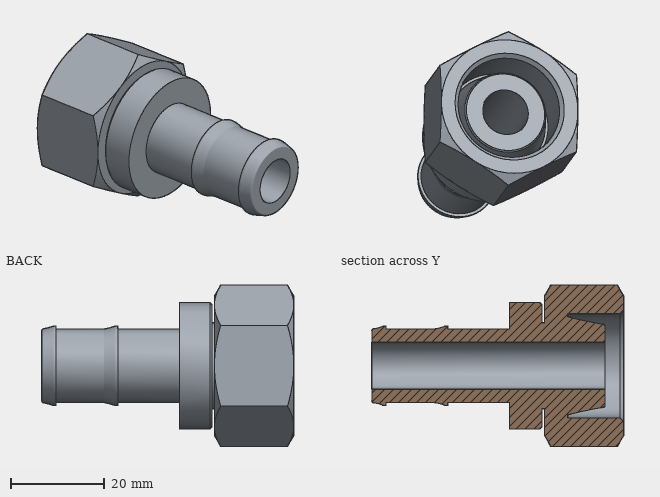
import cadquery as cq
import math

total_length = 54.0
through_bore_radius = 5.0

nut_length = 17.0
nut_across_flats = 30.0
nut_corner_angle = 30.0
nut_bore_radius = 11.15
nut_bore_depth = 12.0
nut_mouth_radius = 12.0

cone_face_x = 4.0
cone_half_angle = 12.0
cone_base_radius = 10.55
cone_edge_chamfer = 0.25

neck_radius = 9.25
collar_start = 17.5
collar_end = 24.5
collar_radius = 13.6
collar_chamfer = 0.5

tail_radius = 7.9
barb_radius = 8.55
barb_land = 0.5
barb_angle = 15.0
middle_barb_start = 37.7
end_barb_start = 50.9
tail_end_fillet = 0.4


def tan_deg(angle):
    return math.tan(math.radians(angle))


def cylinder(start, end, radius):
    """Solid cylinder on the X axis."""
    return cq.Workplane("YZ").workplane(offset=start).circle(radius).extrude(end - start)


def revolve_about_x(points):
    """Revolve an outline of (x, radius) points about the X axis."""
    return cq.Workplane("XY").polyline(points).close().revolve(360, (0, 0, 0), (1, 0, 0))


def make_nut():
    corner_radius = nut_across_flats / math.sqrt(3)
    flat_radius = nut_across_flats / 2
    chamfer_length = (corner_radius - flat_radius) * tan_deg(nut_corner_angle)
    hexagon = (
        cq.Workplane("YZ")
        .polygon(6, 2 * corner_radius)
        .extrude(nut_length)
        .rotate((0, 0, 0), (1, 0, 0), 90)
    )
    corner_envelope = revolve_about_x([
        (0, 0),
        (0, flat_radius),
        (chamfer_length, corner_radius),
        (nut_length - chamfer_length, corner_radius),
        (nut_length, flat_radius),
        (nut_length, 0),
    ])
    mouth_depth = nut_mouth_radius - nut_bore_radius
    bore = revolve_about_x([
        (0, 0),
        (0, nut_mouth_radius),
        (mouth_depth, nut_bore_radius),
        (nut_bore_depth, nut_bore_radius),
        (nut_bore_depth, 0),
    ])
    return hexagon.intersect(corner_envelope).cut(bore)


def make_cone():
    cone_length = nut_bore_depth - cone_face_x
    face_radius = cone_base_radius - cone_length * tan_deg(cone_half_angle)
    cone = revolve_about_x([
        (cone_face_x, 0),
        (cone_face_x, face_radius),
        (nut_bore_depth, cone_base_radius),
        (nut_bore_depth, 0),
    ])
    return cone.faces("<X").chamfer(cone_edge_chamfer)


def make_collar():
    neck = cylinder(nut_length, collar_start, neck_radius)
    collar = cylinder(collar_start, collar_end, collar_radius)
    return collar.faces("<X").chamfer(collar_chamfer).union(neck)


def make_tail():
    ramp_length = (barb_radius - tail_radius) / tan_deg(barb_angle)
    middle_ramp_start = middle_barb_start + barb_land
    end_ramp_start = end_barb_start + barb_land
    tip_radius = barb_radius - (total_length - end_ramp_start) * tan_deg(barb_angle)
    tail = revolve_about_x([
        (collar_end, 0),
        (collar_end, tail_radius),
        (middle_barb_start, tail_radius),
        (middle_barb_start, barb_radius),
        (middle_ramp_start, barb_radius),
        (middle_ramp_start + ramp_length, tail_radius),
        (end_barb_start, tail_radius),
        (end_barb_start, barb_radius),
        (end_ramp_start, barb_radius),
        (total_length, tip_radius),
        (total_length, 0),
    ])
    return tail.faces(">X").edges().fillet(tail_end_fillet)


through_bore = cylinder(0, total_length, through_bore_radius)
result = make_nut().union(make_cone()).union(make_collar()).union(make_tail()).cut(through_bore)